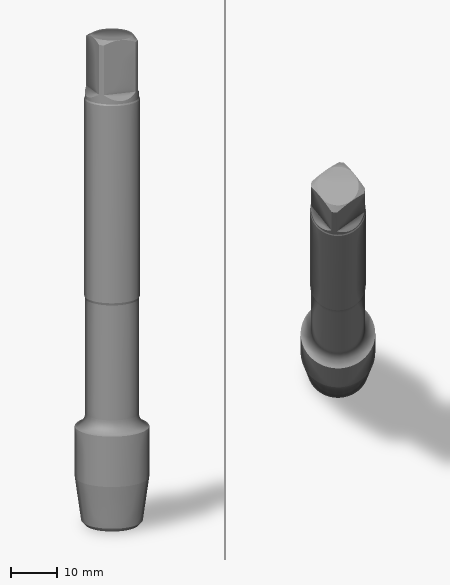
import cadquery as cq
import math

total_length = 110.0
nose_chamfer_top = 0.9
taper_top = 10.7
head_top = 22.0
flare_top = 25.0
neck_top = 50.8
shank_bottom = 51.4
shank_top = 95.7
drive_bottom = 96.0
square_bottom = 98.0

nose_diameter = 11.7
taper_small_diameter = 13.3
head_diameter = 16.1
neck_diameter = 11.5
shank_diameter = 12.0
drive_diameter = 11.7

square_width = 9.0
tip_diameter = 8.9
tip_chamfer_angle = 30.0


def make_cutting_head():
    """Cylindrical head with a tapered lead and a chamfered nose."""
    return (
        cq.Workplane("XZ")
        .lineTo(nose_diameter / 2, 0)
        .lineTo(taper_small_diameter / 2, nose_chamfer_top)
        .lineTo(head_diameter / 2, taper_top)
        .lineTo(head_diameter / 2, head_top)
        .lineTo(0, head_top)
        .close()
        .revolve(360, (0, 0, 0), (0, 1, 0))
    )


def make_round_shank():
    """Turned shank: concave flare, neck, main shank and chamfered drive end."""
    drive_radius = drive_diameter / 2
    tip_radius = tip_diameter / 2
    tip_chamfer_height = (drive_radius - tip_radius) * math.tan(math.radians(tip_chamfer_angle))
    return (
        cq.Workplane("XZ")
        .moveTo(0, head_top)
        .lineTo(0, total_length)
        .lineTo(tip_radius, total_length)
        .lineTo(drive_radius, total_length - tip_chamfer_height)
        .lineTo(drive_radius, drive_bottom)
        .lineTo(shank_diameter / 2, shank_top)
        .lineTo(shank_diameter / 2, shank_bottom)
        .lineTo(neck_diameter / 2, neck_top)
        .lineTo(neck_diameter / 2, flare_top)
        .tangentArcPoint((head_diameter / 2, head_top), relative=False)
        .close()
        .revolve(360, (0, 0, 0), (0, 1, 0))
    )


def make_flat_cutter():
    """Prism that mills one flat of the square, with a 45 degree run-out below it."""
    inner = square_width / 2
    outer = shank_diameter
    return (
        cq.Workplane("XZ")
        .moveTo(inner, total_length)
        .lineTo(inner, square_bottom)
        .lineTo(outer, square_bottom - (outer - inner))
        .lineTo(outer, total_length)
        .close()
        .extrude(shank_diameter, both=True)
    )


def make_shank():
    """Round shank with the four flats of the square drive."""
    shank = make_round_shank()
    flat_count = 4
    for i in range(flat_count):
        cutter = make_flat_cutter().rotate((0, 0, 0), (0, 0, 1), i * 360 / flat_count)
        shank = shank.cut(cutter)
    return shank


cutting_head = make_cutting_head()
shank = make_shank()

result = cq.Compound.makeCompound([cutting_head.val(), shank.val()])